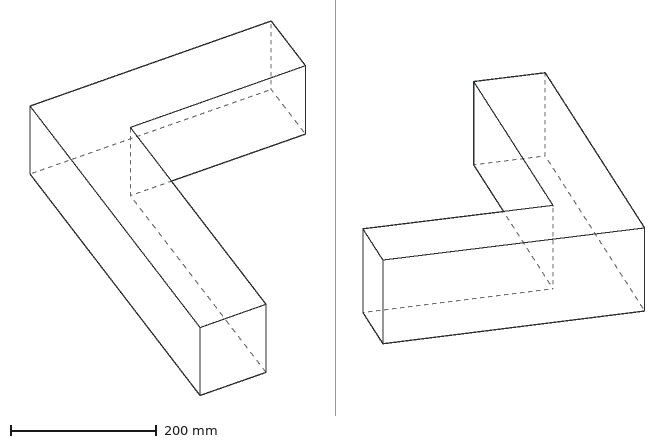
import cadquery as cq

length_x = 505.0
length_y = 372.5
height = 127.5
leg_width = 102.0

underside_rise = 0.9


def l_shaped_block():
    """Upright L: a long leg along X and a short leg along Y, sharing a corner."""
    return (
        cq.Workplane("XY")
        .moveTo(0, 0)
        .lineTo(length_x, 0)
        .lineTo(length_x, leg_width)
        .lineTo(leg_width, leg_width)
        .lineTo(leg_width, length_y)
        .lineTo(0, length_y)
        .close()
        .extrude(height)
    )


def underside_wedge():
    """Thin wedge below the sloping underside, thickest at the front face."""
    return (
        cq.Workplane("YZ")
        .moveTo(0, 0)
        .lineTo(length_y, 0)
        .lineTo(0, underside_rise)
        .close()
        .extrude(length_x)
    )


result = l_shaped_block().cut(underside_wedge())